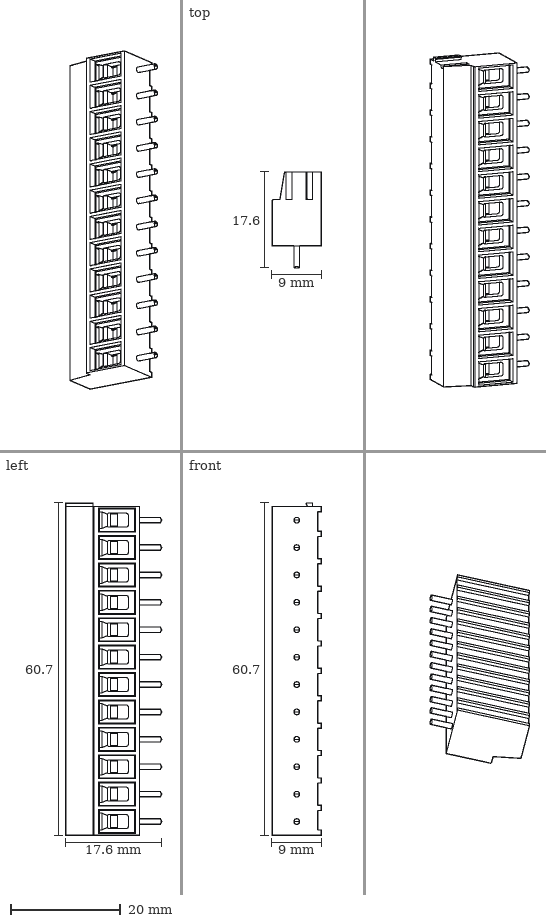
import cadquery as cq


total_height = 60.7
total_depth = 17.6
width = 9.0
rib_height = 0.65
ways = 12
pin_length = 4.05
body_height = total_height - rib_height
body_depth = total_depth - pin_length
pitch = body_height / ways

step_y = 8.5
step_foot_x = 1.4
slope_top_x = 2.2
corner_chamfer = 0.2
back_bevel_x = 0.1
back_bevel_y = 0.35

notch_depth = 0.6
tab_height = 1.0

pin_radius = 0.515
pin_x = 4.5
pin_tip_length = 0.3
pin_tip_bevel = 0.2

groove_x = 3.1
groove_radius = 0.55
rib_near_x = 6.2
rib_far_x = 7.4
rib_undercut = 0.25
rib_bevel = 0.15

pocket_y_min = 0.8
pocket_y_max = 7.5
pocket_height = 4.35
pocket_wall_depth = 1.5
pocket_floor_depth = 1.75
pocket_inset = 0.15

guide_y = pocket_y_max - pocket_inset
guide_floor_y = 6.9
guide_depth = 0.2
guide_slot_depth = 0.9
guide_height = 3.05
guide_throat_height = 2.2

opening_y_min = 2.05
opening_y_max = 5.9
opening_height = 2.55
opening_corner = 0.4
opening_bevel = 0.2
opening_depth = 1.8
lead_in_y = 5.3
lead_in_depth = 0.55
ramp_y = 4.05
ramp_depth = 0.55
ramp_height = 2.2


def way_centre(way):
    return (way + 0.5) * pitch


def prism_z(points, z_min, height):
    """Solid with an XY outline, rising from z_min."""
    return cq.Workplane("XY", origin=(0, 0, z_min)).polyline(points).close().extrude(height)


def make_housing():
    outline = [
        (0, 0),
        (width, 0),
        (width, body_depth),
        (slope_top_x + back_bevel_x, body_depth),
        (slope_top_x, body_depth - back_bevel_y),
        (step_foot_x, step_y),
        (corner_chamfer, step_y),
        (0, step_y - corner_chamfer),
    ]
    return prism_z(outline, 0, body_height)


def make_notch(way):
    """Gap between two spacer tabs; the tabs at both ends keep their full height."""
    bottom = tab_height if way == 0 else way * pitch + tab_height / 2
    top = body_height - tab_height if way == ways - 1 else (way + 1) * pitch - tab_height / 2
    outline = [
        (width - notch_depth, 0),
        (width, 0),
        (width, body_depth),
        (width - notch_depth, body_depth),
    ]
    return prism_z(outline, bottom, top - bottom)


def make_pin(z_centre):
    """Round pin ending in a chisel tip whose edge runs along X, with bevelled corners."""
    shaft = cq.Workplane("XZ").circle(pin_radius).extrude(pin_length)
    shoulder_y = pin_tip_length - pin_length
    side = [
        (0, -pin_radius),
        (shoulder_y, -pin_radius),
        (-pin_length, 0),
        (shoulder_y, pin_radius),
        (0, pin_radius),
    ]
    chisel = cq.Workplane("YZ").polyline(side).close().extrude(pin_radius, both=True)
    corners = cq.Workplane("XY").box(2 * pin_radius, 2 * pin_length, 2 * pin_radius)
    corners = corners.edges("|Z and <Y").chamfer(pin_tip_bevel)
    return shaft.intersect(chisel).intersect(corners).translate((pin_x, 0, z_centre))


def make_groove():
    start = cq.Workplane("XZ", origin=(groove_x, body_depth, body_height))
    return start.circle(groove_radius).extrude(body_depth - step_y)


def make_rib():
    profile = [
        (rib_near_x + rib_undercut, body_height),
        (rib_near_x, total_height - rib_bevel),
        (rib_near_x + rib_bevel, total_height),
        (rib_far_x, total_height),
        (rib_far_x, body_height),
    ]
    start = cq.Workplane("XZ", origin=(0, body_depth, 0))
    return start.polyline(profile).close().extrude(body_depth - step_y)


def make_pocket(z_centre):
    """Rectangular recess whose last stretch narrows to the floor."""
    pocket_width = pocket_y_max - pocket_y_min
    y_centre = (pocket_y_max + pocket_y_min) / 2
    mouth = cq.Workplane("YZ", origin=(0, y_centre, z_centre)).rect(pocket_width, pocket_height)
    recess = mouth.extrude(pocket_floor_depth)
    return recess.faces(">X").chamfer(pocket_floor_depth - pocket_wall_depth, pocket_inset)


def make_guide(z_centre):
    """Shallow funnel narrowing to the opening, with a sharp deeper slot along its wide end."""
    bottom = pocket_floor_depth + guide_depth
    profile = [
        (0, guide_y),
        (pocket_floor_depth + guide_slot_depth, guide_y),
        (bottom, guide_floor_y),
        (bottom, opening_y_max),
        (0, opening_y_max),
    ]
    slot = prism_z(profile, z_centre - guide_height / 2, guide_height)
    half_mouth = guide_height / 2
    half_throat = guide_throat_height / 2
    outline = [
        (guide_y, half_mouth),
        (guide_floor_y, half_mouth),
        (opening_y_max, half_throat),
        (opening_y_max, -half_throat),
        (guide_floor_y, -half_mouth),
        (guide_y, -half_mouth),
    ]
    start = cq.Workplane("YZ", origin=(pocket_floor_depth, 0, z_centre))
    funnel = start.polyline(outline).close().extrude(guide_slot_depth)
    return slot.intersect(funnel)


def make_opening(z_centre):
    """Clamp opening with a sloping lead-in on its +Y side and a ramp sunk in its far wall."""
    back_x = pocket_floor_depth + opening_depth
    profile = [
        (pocket_floor_depth, opening_y_min),
        (back_x, opening_y_min),
        (back_x, lead_in_y),
        (pocket_floor_depth + lead_in_depth, lead_in_y),
        (pocket_floor_depth, opening_y_max),
    ]
    cavity = prism_z(profile, z_centre - opening_height / 2, opening_height)
    opening_length = opening_y_max - opening_y_min
    y_centre = (opening_y_max + opening_y_min) / 2
    start = cq.Workplane("YZ", origin=(pocket_floor_depth, y_centre, z_centre))
    outline = start.rect(opening_length, opening_height).extrude(opening_depth)
    outline = outline.edges("|X and <Y").fillet(opening_corner)
    outline = outline.edges("|X and >Y").chamfer(opening_bevel)
    ramp_profile = [
        (back_x, ramp_y),
        (back_x + ramp_depth, lead_in_y),
        (back_x, lead_in_y),
    ]
    ramp = prism_z(ramp_profile, z_centre - ramp_height / 2, ramp_height)
    return cavity.intersect(outline).union(ramp)


result = make_housing().cut(make_groove()).union(make_rib())
for way in range(ways):
    centre = way_centre(way)
    result = result.cut(make_pocket(centre)).cut(make_guide(centre)).cut(make_opening(centre))
    result = result.cut(make_notch(way))
    result = result.union(make_pin(centre))